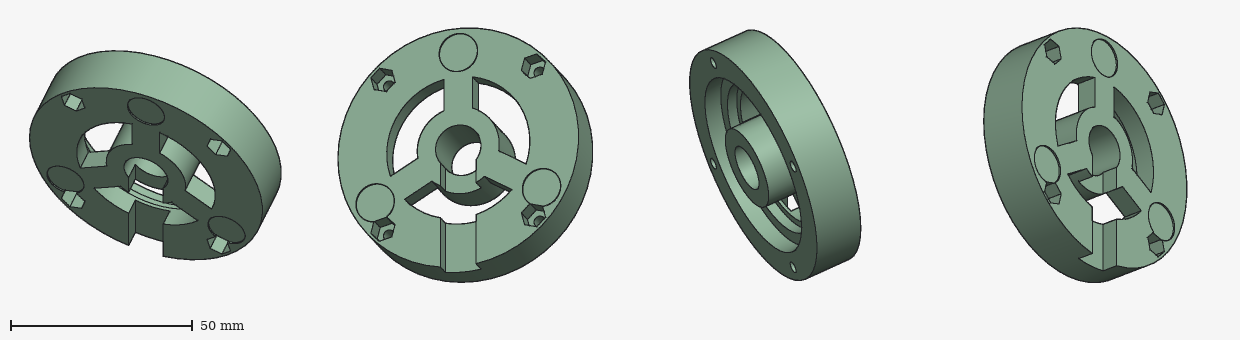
import cadquery as cq

disc_diameter = 69.0
disc_thickness = 14.0
hub_diameter = 23.5
hub_projection = 2.0
bore_diameter = 13.0

web_thickness = 6.0
step_depth = 9.0
inner_recess_diameter = 45.0
outer_recess_diameter = 52.3

window_diameter = 41.0
spoke_width = 8.15
spoke_count = 3

slot_width = 10.2
slot_depth = 5.0

seat_diameter = 11.0
seat_depth = 0.5
seat_circle_radius = 27.5

bolt_count = 4
bolt_diameter = 3.2
bolt_circle_radius = 30.5
nut_sides = 6
nut_corner_diameter = 7.2
nut_pocket_depth = web_thickness


def plane_at(depth):
    """Workplane parallel to the front face, extruding towards the rear."""
    return cq.Workplane(cq.Plane((0, depth, 0), (-1, 0, 0), (0, 1, 0)))


def cylinder(diameter, start, end):
    return plane_at(start).circle(diameter / 2).extrude(end - start)


def ring(outer_diameter, start, end):
    """Annular space between the hub and the outer diameter."""
    return plane_at(start).circle(outer_diameter / 2).circle(hub_diameter / 2).extrude(end - start)


def around_axis(shape, count, first_angle=0):
    """Copies of a shape spaced evenly about the Y axis."""
    copies = cq.Workplane()
    for index in range(count):
        angle = first_angle + index * 360 / count
        copies = copies.add(shape.rotate((0, 0, 0), (0, 1, 0), angle))
    return copies.combine()


def windows():
    spoke = plane_at(0).rect(spoke_width, disc_diameter / 2).extrude(web_thickness)
    spoke = spoke.translate((0, 0, disc_diameter / 4))
    return ring(window_diameter, 0, web_thickness).cut(around_axis(spoke, spoke_count))


def radial_slot():
    slot_length = disc_diameter / 2
    slot = plane_at(0).rect(slot_width, slot_length).extrude(slot_depth)
    return slot.translate((0, 0, -slot_length / 2))


def seats():
    seat = cylinder(seat_diameter, 0, seat_depth).translate((0, 0, seat_circle_radius))
    return around_axis(seat, spoke_count)


def bolt_holes():
    nut_pocket = plane_at(0).polygon(nut_sides, nut_corner_diameter).extrude(nut_pocket_depth)
    hole = cylinder(bolt_diameter, 0, disc_thickness)
    fastener = nut_pocket.union(hole).translate((0, 0, bolt_circle_radius))
    return around_axis(fastener, bolt_count, 180 / bolt_count)


result = (
    cylinder(disc_diameter, 0, disc_thickness)
    .union(cylinder(hub_diameter, 0, disc_thickness + hub_projection))
    .cut(ring(inner_recess_diameter, web_thickness, step_depth))
    .cut(ring(outer_recess_diameter, step_depth, disc_thickness))
    .cut(cylinder(bore_diameter, 0, disc_thickness + hub_projection))
    .cut(windows())
    .cut(radial_slot())
    .cut(seats())
    .cut(bolt_holes())
)